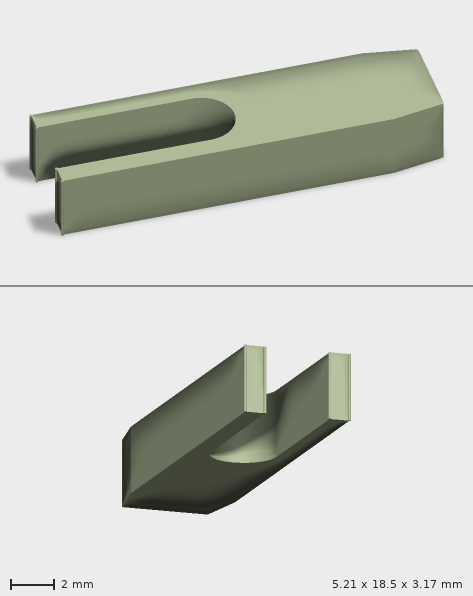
import cadquery as cq

length = 18.54
height = 3.17
bead_radius = 0.069
body_width = 5.21 - 2 * bead_radius

tip_width = 4.19
taper_length = 2.55
tip_corner_radius = 0.13

slot_width = 3.15
slot_depth = 9.01

tip_y = length / 2
leg_end_y = -length / 2 + bead_radius
half_body = body_width / 2
half_tip = tip_width / 2
half_slot = slot_width / 2


def make_body():
    """Straight bar with a tapered tip and slightly rounded tip corners."""
    shoulder_y = tip_y - taper_length
    outline = [
        (-half_body, leg_end_y),
        (half_body, leg_end_y),
        (half_body, shoulder_y),
        (half_tip, tip_y),
        (-half_tip, tip_y),
        (-half_body, shoulder_y),
    ]
    bar = cq.Workplane("XY").polyline(outline).close().extrude(height)
    return bar.faces(">Y").edges("|Z").fillet(tip_corner_radius)


def make_slot():
    """Through slot, open at the leg ends and closed by a half round."""
    slot_top_y = leg_end_y + slot_depth
    arc_start_y = slot_top_y - half_slot
    return (
        cq.Workplane("XY")
        .moveTo(-half_slot, leg_end_y)
        .lineTo(half_slot, leg_end_y)
        .lineTo(half_slot, arc_start_y)
        .threePointArc((0, slot_top_y), (-half_slot, arc_start_y))
        .close()
        .extrude(height)
    )


def make_beads():
    """Full-height round beads centred on the four leg end corners."""
    corners = [(x, leg_end_y) for x in (-half_body, -half_slot, half_slot, half_body)]
    return cq.Workplane("XY").pushPoints(corners).circle(bead_radius).extrude(height)


result = make_body().cut(make_slot()).union(make_beads())